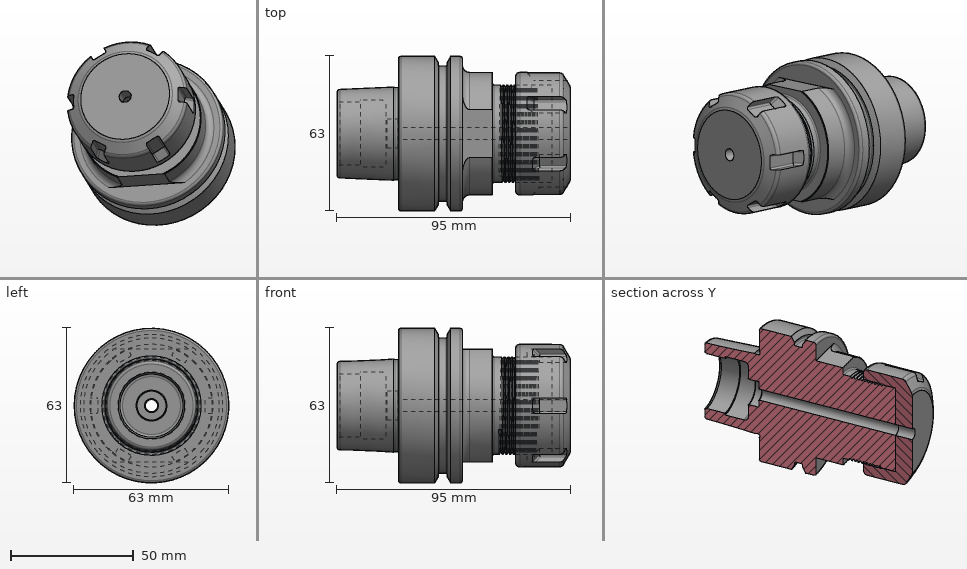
import cadquery as cq
import math

LENGTH = 95.0

SHANK_TIP_RADIUS = 18.05
SHANK_ROOT_RADIUS = 19.0
SHANK_TIP_ROUND = 1.1
SHANK_END = 22.9

RELIEF_RADIUS = 18.8
RELIEF_START = 23.6
RELIEF_ROUND = 0.6
RECESS_RADIUS = 20.2
RECESS_DEPTH = 0.2

FLANGE_DIAMETER = 63.0
FLANGE_RADIUS = FLANGE_DIAMETER / 2
FLANGE_START = 25.0
FLANGE_END = 51.0
FLANGE_FRONT_ROUND = 1.1
FLANGE_BACK_ROUND = 0.95
GROOVE_CENTRE = 42.9
GROOVE_WIDTH = 3.6
GROOVE_FLOOR_RADIUS = 27.55
GROOVE_FLOOR_ROUND = 0.6
GROOVE_FLARE_RADIUS = 29.0
GROOVE_FLARE_ANGLE = 60.0

HUB_RADIUS = 25.0
HUB_END = 63.3
HUB_CHAMFER = 0.3
HUB_ROOT_ROUND = 2.85
FLAT_HEIGHT = 23.0

SPIGOT_RADIUS = 19.9
SPIGOT_END = 87.4
SPIGOT_ROOT_ROUND = 0.6
THREAD_PITCH = 1.5
THREAD_WIDTH = 1.3
THREAD_DEPTH = 0.9
THREAD_TURNS = 10
THREAD_START = 66.3
THREAD_START_ANGLE = -60.0

MOUTH_RADIUS = 13.5
MOUTH_DEPTH = 1.1
BORE_RADIUS = 12.8
BORE_STEP = 9.5
CHAMBER_RADIUS = 13.7
BORE_DEPTH = 19.95
BORE_FLOOR_ROUND = 1.9
COUNTERBORE_RADIUS = 5.9
COUNTERBORE_DEPTH = 4.75
COUNTERBORE_CHAMFER = 0.4
HOLE_RADIUS = 2.5
HOLE_CHAMFER = 0.4

NUT_RADIUS = HUB_RADIUS
NUT_START = 72.5
NUT_BACK_ROUND = 1.9
NOSE_START = 90.3
NOSE_ROUND = 2.0
NOSE_ANGLE = 60.0
NOSE_TIP_CHAMFER_LENGTH = 0.4
NOSE_TIP_CHAMFER_HEIGHT = 1.1

SLOT_COUNT = 6
FIRST_SLOT_ANGLE = 90.0
SLOT_WIDTH = 6.3
SLOT_FLOOR_RADIUS = 21.7
SLOT_FLOOR_ROUND = 0.8
SLOT_RAMP_ANGLE = 50.0
SLOT_FLOOR_START = 82.3
LONG_SLOT_EXTENSION = 2.3

CUT_OVERLAP = 0.1

ORIGIN = (0, 0, 0)
X_AXIS = (1, 0, 0)
Y_AXIS = (0, 1, 0)


def turn(profile):
    """Revolve a closed XY profile about the X axis."""
    return profile.close().revolve(360, ORIGIN, X_AXIS)


def make_holder_blank():
    groove_start = GROOVE_CENTRE - GROOVE_WIDTH / 2
    groove_end = GROOVE_CENTRE + GROOVE_WIDTH / 2
    flare = (FLANGE_RADIUS - GROOVE_FLARE_RADIUS) / math.tan(math.radians(GROOVE_FLARE_ANGLE))
    recess_floor = FLANGE_START + RECESS_DEPTH
    profile = (
        cq.Workplane("XY")
        .lineTo(0, SHANK_TIP_RADIUS - SHANK_TIP_ROUND)
        .tangentArcPoint((SHANK_TIP_ROUND, SHANK_TIP_RADIUS), relative=False)
        .lineTo(SHANK_END, SHANK_ROOT_RADIUS)
        .lineTo(RELIEF_START, RELIEF_RADIUS)
        .lineTo(recess_floor - RELIEF_ROUND, RELIEF_RADIUS)
        .tangentArcPoint((recess_floor, RELIEF_RADIUS + RELIEF_ROUND), relative=False)
        .lineTo(recess_floor, RECESS_RADIUS)
        .lineTo(FLANGE_START, RECESS_RADIUS)
        .lineTo(FLANGE_START, FLANGE_RADIUS - FLANGE_BACK_ROUND)
        .tangentArcPoint((FLANGE_START + FLANGE_BACK_ROUND, FLANGE_RADIUS), relative=False)
        .lineTo(groove_start - flare, FLANGE_RADIUS)
        .lineTo(groove_start, GROOVE_FLARE_RADIUS)
        .lineTo(groove_start, GROOVE_FLOOR_RADIUS + GROOVE_FLOOR_ROUND)
        .tangentArcPoint((groove_start + GROOVE_FLOOR_ROUND, GROOVE_FLOOR_RADIUS), relative=False)
        .lineTo(groove_end - GROOVE_FLOOR_ROUND, GROOVE_FLOOR_RADIUS)
        .tangentArcPoint((groove_end, GROOVE_FLOOR_RADIUS + GROOVE_FLOOR_ROUND), relative=False)
        .lineTo(groove_end, GROOVE_FLARE_RADIUS)
        .lineTo(groove_end + flare, FLANGE_RADIUS)
        .lineTo(FLANGE_END - FLANGE_FRONT_ROUND, FLANGE_RADIUS)
        .tangentArcPoint((FLANGE_END, FLANGE_RADIUS - FLANGE_FRONT_ROUND), relative=False)
        .lineTo(FLANGE_END, HUB_RADIUS + HUB_ROOT_ROUND)
        .tangentArcPoint((FLANGE_END + HUB_ROOT_ROUND, HUB_RADIUS), relative=False)
        .lineTo(HUB_END - HUB_CHAMFER, HUB_RADIUS)
        .lineTo(HUB_END, HUB_RADIUS - HUB_CHAMFER)
        .lineTo(HUB_END, SPIGOT_RADIUS + SPIGOT_ROOT_ROUND)
        .tangentArcPoint((HUB_END + SPIGOT_ROOT_ROUND, SPIGOT_RADIUS), relative=False)
        .lineTo(SPIGOT_END, SPIGOT_RADIUS)
        .lineTo(SPIGOT_END, 0)
    )
    return turn(profile)


def make_holder_bore():
    counterbore_floor = BORE_DEPTH + COUNTERBORE_DEPTH
    profile = (
        cq.Workplane("XY")
        .lineTo(0, MOUTH_RADIUS)
        .lineTo(MOUTH_DEPTH, BORE_RADIUS)
        .lineTo(BORE_STEP, BORE_RADIUS)
        .lineTo(BORE_STEP, CHAMBER_RADIUS)
        .lineTo(BORE_DEPTH - BORE_FLOOR_ROUND, CHAMBER_RADIUS)
        .tangentArcPoint((BORE_DEPTH, CHAMBER_RADIUS - BORE_FLOOR_ROUND), relative=False)
        .lineTo(BORE_DEPTH, COUNTERBORE_RADIUS + COUNTERBORE_CHAMFER)
        .lineTo(BORE_DEPTH + COUNTERBORE_CHAMFER, COUNTERBORE_RADIUS)
        .lineTo(counterbore_floor, COUNTERBORE_RADIUS)
        .lineTo(counterbore_floor, HOLE_RADIUS + HOLE_CHAMFER)
        .lineTo(counterbore_floor + HOLE_CHAMFER, HOLE_RADIUS)
        .lineTo(SPIGOT_END, HOLE_RADIUS)
        .lineTo(SPIGOT_END, 0)
    )
    return turn(profile)


def make_wrench_flat():
    """Block above the upper flat of the hub."""
    return (
        cq.Workplane("XY", origin=((FLANGE_END + HUB_END) / 2, 0, FLAT_HEIGHT))
        .rect(HUB_END - FLANGE_END, FLANGE_DIAMETER)
        .extrude(FLANGE_RADIUS - FLAT_HEIGHT)
    )


def make_thread_groove():
    """Right-handed V groove, swept along Z and then laid along X."""
    half_width = THREAD_WIDTH / 2
    outer = SPIGOT_RADIUS + CUT_OVERLAP
    root = SPIGOT_RADIUS - THREAD_DEPTH
    path = cq.Wire.makeHelix(THREAD_PITCH, THREAD_TURNS * THREAD_PITCH, SPIGOT_RADIUS)
    groove = (
        cq.Workplane("XZ")
        .polyline([(outer, -half_width), (root, 0), (outer, half_width)])
        .close()
        .sweep(path, isFrenet=True)
    )
    return (
        groove.rotate(ORIGIN, Y_AXIS, 90)
        .rotate(ORIGIN, X_AXIS, THREAD_START_ANGLE)
        .translate((THREAD_START, 0, 0))
    )


def make_holder():
    upper_flat = make_wrench_flat()
    lower_flat = upper_flat.rotate(ORIGIN, X_AXIS, 180)
    return (
        make_holder_blank()
        .cut(upper_flat)
        .cut(lower_flat)
        .cut(make_thread_groove())
        .cut(make_holder_bore())
    )


def make_nut_blank():
    angle = math.radians(NOSE_ANGLE)
    cone_start = NOSE_START + NOSE_ROUND * math.sin(angle)
    cone_start_radius = NUT_RADIUS - NOSE_ROUND * (1 - math.cos(angle))
    cone_end = LENGTH - NOSE_TIP_CHAMFER_LENGTH
    cone_end_radius = cone_start_radius - (cone_end - cone_start) * math.tan(angle)
    profile = (
        cq.Workplane("XY")
        .moveTo(NUT_START, SPIGOT_RADIUS)
        .lineTo(NUT_START, NUT_RADIUS - NUT_BACK_ROUND)
        .tangentArcPoint((NUT_START + NUT_BACK_ROUND, NUT_RADIUS), relative=False)
        .lineTo(NOSE_START, NUT_RADIUS)
        .tangentArcPoint((cone_start, cone_start_radius), relative=False)
        .lineTo(cone_end, cone_end_radius)
        .lineTo(LENGTH, cone_end_radius - NOSE_TIP_CHAMFER_HEIGHT)
        .lineTo(LENGTH, HOLE_RADIUS)
        .lineTo(SPIGOT_END, HOLE_RADIUS)
        .lineTo(SPIGOT_END, SPIGOT_RADIUS)
    )
    return turn(profile)


def make_slot_cutter(floor_start):
    """Round-bottomed slot on the +Z side: a ramp down to a flat floor that runs out of the nose."""
    top = NUT_RADIUS + CUT_OVERLAP
    ramp_length = (top - SLOT_FLOOR_RADIUS) / math.tan(math.radians(SLOT_RAMP_ANGLE))
    cutter = (
        cq.Workplane("XZ")
        .moveTo(floor_start - ramp_length, top)
        .lineTo(floor_start, SLOT_FLOOR_RADIUS)
        .lineTo(LENGTH, SLOT_FLOOR_RADIUS)
        .lineTo(LENGTH, top)
        .close()
        .extrude(SLOT_WIDTH / 2, both=True)
    )
    floor_and_ramp_sides = cutter.faces("<Z").edges("|X").add(
        cutter.faces("<X").edges("not |Y")
    )
    return floor_and_ramp_sides.fillet(SLOT_FLOOR_ROUND)


def make_nut():
    nut = make_nut_blank()
    for index in range(SLOT_COUNT):
        angle = FIRST_SLOT_ANGLE + 360 / SLOT_COUNT * index
        on_long_half = math.sin(math.radians(angle)) < 0
        floor_start = SLOT_FLOOR_START - (LONG_SLOT_EXTENSION if on_long_half else 0)
        nut = nut.cut(make_slot_cutter(floor_start).rotate(ORIGIN, X_AXIS, angle))
    return nut


holder = make_holder()
nut = make_nut()
result = cq.Compound.makeCompound([holder.val(), nut.val()])